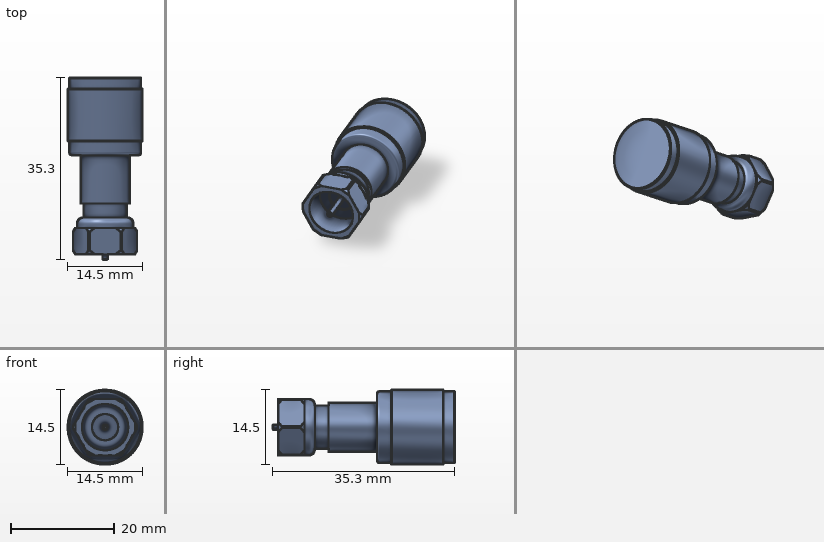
import cadquery as cq
import math

total_length = 35.33

nut_front = 1.1
nut_back = 6.22
collar_back = 8.23
tube_front = 10.88
body_front = 20.25
sleeve_front = 22.95
sleeve_back = 33.15

neck_radius = 4.2
tube_radius = 4.77
body_radius = 6.95
sleeve_radius = 14.52 / 2

body_fillet = 0.55
rear_chamfer = 0.18
sleeve_chamfer = 0.15

nut_across_flats = 10.95
corner_distance = 6.22
corner_end_distance = 5.75
corner_chamfer_length = 0.75
hex_sides = 6

collar_radius = nut_across_flats / 2
collar_shoulder = 0.05
collar_fillet = collar_radius - neck_radius - collar_shoulder

socket_radius = 4.5
socket_depth = 5.85
inner_radius = 2.55
inner_recess_depth = 0.35
pin_radius = 1.02 / 2
pin_chamfer = 0.2


def cylinder(radius, start, end):
    """Solid cylinder along +Y between two stations."""
    base = cq.Workplane("XZ", origin=(0, start, 0))
    return base.circle(radius).extrude(start - end)


def corner_trimmer():
    """Block whose flat, chamfered inner side trims the +X corner of the nut."""
    size = nut_across_flats
    return (
        cq.Workplane("XY", origin=(0, 0, -size / 2))
        .moveTo(corner_end_distance, nut_front)
        .lineTo(corner_distance, nut_front + corner_chamfer_length)
        .lineTo(corner_distance, nut_back - corner_chamfer_length)
        .lineTo(corner_end_distance, nut_back)
        .lineTo(size, nut_back)
        .lineTo(size, nut_front)
        .close()
        .extrude(size)
    )


def make_nut():
    across_corners = nut_across_flats / math.cos(math.pi / hex_sides)
    nut = (
        cq.Workplane("XZ", origin=(0, nut_front, 0))
        .polygon(hex_sides, across_corners)
        .extrude(nut_front - nut_back)
    )
    trimmer = corner_trimmer()
    for corner in range(hex_sides):
        angle = corner * 360 / hex_sides
        nut = nut.cut(trimmer.rotate((0, 0, 0), (0, 1, 0), angle))
    return nut


def make_collar():
    collar = cylinder(collar_radius, nut_back, collar_back)
    return collar.faces(">Y").edges().fillet(collar_fillet)


def make_body():
    body = cylinder(body_radius, body_front, total_length)
    body = body.faces("<Y").edges().fillet(body_fillet)
    body = body.faces(">Y").edges().chamfer(rear_chamfer)
    sleeve = cylinder(sleeve_radius, sleeve_front, sleeve_back)
    sleeve = sleeve.faces("<Y or >Y").edges().chamfer(sleeve_chamfer)
    return body.union(sleeve)


def make_pin(end):
    return cylinder(pin_radius, 0, end).faces("<Y").edges().chamfer(pin_chamfer)


neck = cylinder(neck_radius, nut_back, tube_front)
tube = cylinder(tube_radius, tube_front, body_front)

socket_floor = nut_front + socket_depth
inner_floor = socket_floor + inner_recess_depth

result = make_nut().union(make_collar()).union(neck)
result = result.union(tube).union(make_body())
result = result.cut(cylinder(socket_radius, nut_front, socket_floor))
result = result.cut(cylinder(inner_radius, socket_floor, inner_floor))
result = result.union(make_pin(inner_floor))